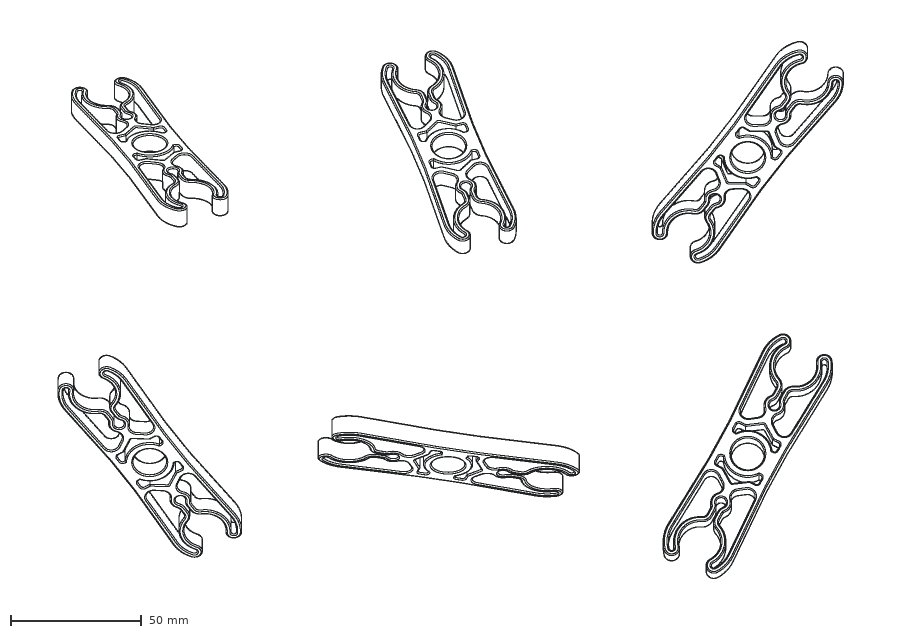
import cadquery as cq
import math

THICKNESS = 8.0
EDGE_CHAMFER = 0.5
WALL = 2.0

HOLE_DIAMETER = 12.8
BODY_HALF_WIDTH = 12.45
BODY_HALF_LENGTH = 8.5

CLIP_X = 39.63
CLIP_RADIUS = 8.03
LIP_RADIUS = 3.0
ARM_OUTER_RADIUS = CLIP_RADIUS + 2 * LIP_RADIUS
LIP_CENTRE_RADIUS = CLIP_RADIUS + LIP_RADIUS

LEFT_LIP_ANGLE = 53.6
RIGHT_UPPER_LIP_ANGLE = 57.0
RIGHT_LOWER_LIP_ANGLE = 49.0

NECK_HALF_GAP = 0.57
NECK_RADIUS = 4.1
RELIEF_X = 22.0
RELIEF_RADIUS = 2.0

POCKET_ROUND = 3.0
POCKET_DIP_Y = 5.1
POCKET_END_X = 12.25

RING_WALL = 3.0
RING_RADIUS = HOLE_DIAMETER / 2 + RING_WALL
SLOT_OUTER_X = 9.4
SLOT_INNER_X = 5.35
SLOT_HALF_WIDTH = 9.3
SLOT_KNEE_Y = 5.8
SLOT_TIP_X = 13.4
SLOT_TOP_ROUND = 1.0
SLOT_TIP_ROUND = 0.6

LIP_ANGLES = {
    (False, False): RIGHT_UPPER_LIP_ANGLE,
    (False, True): RIGHT_LOWER_LIP_ANGLE,
    (True, False): LEFT_LIP_ANGLE,
    (True, True): LEFT_LIP_ANGLE,
}

NECK_Y = NECK_HALF_GAP + NECK_RADIUS
OUTER_NECK_ANGLE = math.degrees(math.asin(NECK_Y / (CLIP_RADIUS + NECK_RADIUS)))
INNER_NECK_ANGLE = math.degrees(math.asin(NECK_Y / (RELIEF_RADIUS + NECK_RADIUS)))
OUTER_NECK = (CLIP_X - NECK_Y / math.tan(math.radians(OUTER_NECK_ANGLE)), NECK_Y)
INNER_NECK = (RELIEF_X + NECK_Y / math.tan(math.radians(INNER_NECK_ANGLE)), NECK_Y)
CLIP = (CLIP_X, 0.0)
RELIEF = (RELIEF_X, 0.0)

SIDE_RUN = CLIP_X - BODY_HALF_LENGTH
SIDE_SLOPE = (math.degrees(math.asin(ARM_OUTER_RADIUS / math.hypot(SIDE_RUN, BODY_HALF_WIDTH)))
              - math.degrees(math.atan2(BODY_HALF_WIDTH, SIDE_RUN)))
SIDE_NORMAL = 90 + SIDE_SLOPE

SAME_POINT = 1e-6


def polar(centre, radius, angle):
    """Point at an angle in degrees on a circle."""
    a = math.radians(angle)
    return (centre[0] + radius * math.cos(a), centre[1] + radius * math.sin(a))


def arc(path, centre, radius, start, end):
    """Line to the start of an arc, unless already there, then the arc."""
    first = polar(centre, radius, start)
    here = path.val().endPoint() if isinstance(path.val(), cq.Edge) else path.val()
    if math.dist(first, (here.x, here.y)) > SAME_POINT:
        path = path.lineTo(*first)
    return path.threePointArc(polar(centre, radius, (start + end) / 2), polar(centre, radius, end))


def clip_wall(path, inset, lip_angle):
    """Arm side, lip, seat and neck, moved into the wall by the inset."""
    lip = polar(CLIP, LIP_CENTRE_RADIUS, lip_angle)
    outer_turn = -OUTER_NECK_ANGLE
    inner_turn = INNER_NECK_ANGLE - 180
    path = arc(path, CLIP, ARM_OUTER_RADIUS - inset, SIDE_NORMAL, lip_angle)
    path = arc(path, lip, LIP_RADIUS - inset, lip_angle, lip_angle - 180)
    path = arc(path, CLIP, CLIP_RADIUS + inset, lip_angle, 180 - OUTER_NECK_ANGLE)
    path = arc(path, OUTER_NECK, NECK_RADIUS - inset, outer_turn, -90)
    return arc(path, INNER_NECK, NECK_RADIUS - inset, -90, inner_turn)


def arm_edge(lip_angle):
    """Open outline of the +X +Y arm, from the body corner to the relief hole."""
    path = cq.Workplane("XY").moveTo(BODY_HALF_LENGTH, BODY_HALF_WIDTH)
    return clip_wall(path, 0.0, lip_angle).wire().val()


def body_side():
    """Straight +Y side of the body between the two arms."""
    start = cq.Vector(-BODY_HALF_LENGTH, BODY_HALF_WIDTH)
    end = cq.Vector(BODY_HALF_LENGTH, BODY_HALF_WIDTH)
    return cq.Wire.assembleEdges([cq.Edge.makeLine(start, end)])


def relief_end():
    """Round end of the relief hole, joining the two arms on the +X end."""
    first = polar(RELIEF, RELIEF_RADIUS, INNER_NECK_ANGLE)
    last = polar(RELIEF, RELIEF_RADIUS, -INNER_NECK_ANGLE)
    middle = polar(RELIEF, RELIEF_RADIUS, 180)
    edge = cq.Edge.makeThreePointArc(cq.Vector(*first), cq.Vector(*middle), cq.Vector(*last))
    return cq.Wire.assembleEdges([edge])


def arm_pocket(lip_angle):
    """Opening between the arm side and the clip wall."""
    bump_radius = RELIEF_RADIUS + WALL
    dip_angle = 180 - math.degrees(math.asin(POCKET_DIP_Y / (bump_radius + POCKET_ROUND)))
    dip = polar(RELIEF, bump_radius + POCKET_ROUND, dip_angle)
    corner_x = POCKET_END_X + POCKET_ROUND
    offset = ARM_OUTER_RADIUS - WALL - POCKET_ROUND
    normal = math.radians(SIDE_NORMAL)
    corner_y = (offset - (corner_x - CLIP_X) * math.cos(normal)) / math.sin(normal)
    corner = (corner_x, corner_y)
    web_angle = math.degrees(math.atan2(corner_y - dip[1], corner_x - dip[0])) + 90

    start = polar(corner, POCKET_ROUND, SIDE_NORMAL)
    path = clip_wall(cq.Workplane("XY").moveTo(*start), WALL, lip_angle)
    path = arc(path, RELIEF, bump_radius, INNER_NECK_ANGLE, dip_angle)
    path = arc(path, dip, POCKET_ROUND, dip_angle - 180, web_angle - 360)
    path = arc(path, corner, POCKET_ROUND, web_angle, SIDE_NORMAL)
    return path.close().extrude(THICKNESS)


def ring_slot():
    """Arrow-shaped slot between the central ring and the clip on the +X end."""
    outline = [
        (SLOT_INNER_X, SLOT_HALF_WIDTH),
        (SLOT_OUTER_X, SLOT_HALF_WIDTH),
        (SLOT_OUTER_X, SLOT_KNEE_Y),
        (SLOT_TIP_X, 0),
        (SLOT_OUTER_X, -SLOT_KNEE_Y),
        (SLOT_OUTER_X, -SLOT_HALF_WIDTH),
        (SLOT_INNER_X, -SLOT_HALF_WIDTH),
    ]
    slot = cq.Workplane("XY").polyline(outline).close().extrude(THICKNESS)
    slot = slot.cut(cq.Workplane("XY").circle(RING_RADIUS).extrude(THICKNESS))
    slot = slot.edges("|Z").edges(">X").fillet(SLOT_TIP_ROUND)
    for side in ("<Y", ">Y"):
        slot = slot.faces(side).edges("|Z").fillet(SLOT_TOP_ROUND)
    return slot


def place(shape, left, lower):
    """Mirror a +X +Y shape to another quarter."""
    if left:
        shape = shape.mirror("YZ")
    if lower:
        shape = shape.mirror("XZ")
    return shape


outline = [body_side(), place(body_side(), False, True)]
openings = [cq.Workplane("XY").circle(HOLE_DIAMETER / 2).extrude(THICKNESS)]
for left in (False, True):
    outline.append(place(relief_end(), left, False))
    openings.append(place(ring_slot(), left, False))
    for lower in (False, True):
        lip_angle = LIP_ANGLES[left, lower]
        outline.append(place(arm_edge(lip_angle), left, lower))
        openings.append(place(arm_pocket(lip_angle), left, lower))

outer_wire = cq.Wire.combine(outline)[0]
result = cq.Workplane("XY").add(outer_wire).toPending().extrude(THICKNESS)
for opening in openings:
    result = result.cut(opening, clean=False)
result = result.faces("<Z or >Z").chamfer(EDGE_CHAMFER)